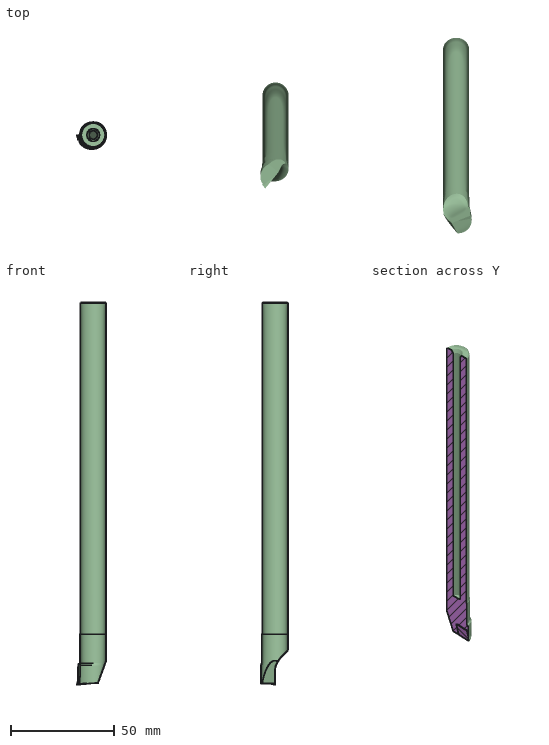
import cadquery as cq
import math

total_length = 185.4
shank_diameter = 12.6
head_diameter = 12.8
head_top = 24.5
head_bottom = 10.5
foot_top = 9.5
foot_bottom = 0.4
foot_radius = 6.95
foot_x = -0.65
foot_y = 0.1
head_offset = (head_diameter - shank_diameter) / 2
shank_chamfer = 0.5

channel_diameter = 4.0
channel_mouth_diameter = 6.1
mouth_depth = 1.9

scallop_radius = 9.3
scallop_base = 8.0
scallop_tilt = 17.0

foot_end_rise = 2.5
heel_start = 2.0
heel_angle = 20.0
flank_x = -7.6
flank_turn = 16.0
flank_lean = 1.5

tip_x = -8.0
tip_angle = 70.0
end_edge_angle = 5.0
insert_edge = 6.5
insert_thickness = 2.5
clearance_angle = 11.0

cutter_size = 37.0


def block_right_of_origin():
    """Cutting block filling +X from the plane X = 0."""
    return cq.Workplane("XY").box(cutter_size, cutter_size, cutter_size, centered=(False, True, True))


def make_blank():
    """Solid bar before the channel and reliefs, with the foot tapering into the head."""
    shank = (
        cq.Workplane("XY", origin=(0, 0, head_top))
        .circle(shank_diameter / 2)
        .extrude(total_length - head_top)
        .faces(">Z")
        .chamfer(shank_chamfer)
    )
    head = (
        cq.Workplane("XY", origin=(-head_offset, -head_offset, head_bottom))
        .circle(head_diameter / 2)
        .extrude(head_top - head_bottom)
    )
    foot = cq.Workplane("XY", origin=(foot_x, foot_y, 0)).circle(foot_radius).extrude(foot_top)
    transition = (
        cq.Workplane("XY", origin=(foot_x, foot_y, foot_top))
        .circle(foot_radius)
        .workplane(offset=head_bottom - foot_top)
        .center(-head_offset - foot_x, -head_offset - foot_y)
        .circle(head_diameter / 2)
        .loft()
    )
    return foot.union(transition).union(head).union(shank)


def make_coolant_channel():
    """Revolved channel with a conical mouth at the shank end."""
    return (
        cq.Workplane("XZ")
        .moveTo(0, head_top)
        .lineTo(channel_diameter / 2, head_top)
        .lineTo(channel_diameter / 2, total_length - mouth_depth)
        .lineTo(channel_mouth_diameter / 2, total_length)
        .lineTo(0, total_length)
        .close()
        .revolve(360, (0, 0, 0), (0, 1, 0))
    )


def make_scallop():
    """Round-ended cut over the flat, tilted about Y."""
    return (
        cq.Workplane("YZ")
        .moveTo(0, -cutter_size)
        .lineTo(0, 0)
        .radiusArc((scallop_radius, scallop_radius), scallop_radius)
        .lineTo(scallop_radius, -cutter_size)
        .close()
        .extrude(cutter_size, both=True)
        .rotate((0, 0, 0), (0, 1, 0), scallop_tilt)
        .translate((0, 0, scallop_base))
    )


def make_heel_cut():
    """Slants the +X side of the foot towards the end."""
    return block_right_of_origin().rotate((0, 0, 0), (0, 1, 0), heel_angle).translate((heel_start, 0, 0))


def make_flank_cut():
    """Flattens the -X side of the foot behind the side cutting edge."""
    return (
        block_right_of_origin()
        .rotate((0, 0, 0), (0, 0, 1), 180 + flank_turn)
        .rotate((0, 0, 0), (0, 1, 0), flank_lean)
        .translate((flank_x, 0, 0))
    )


def make_end_cut():
    """Removes the foot end below a plane that rises away from the insert tip."""
    return (
        block_right_of_origin()
        .rotate((0, 0, 0), (0, 1, 0), 90 - foot_end_rise)
        .translate((tip_x, 0, foot_bottom))
    )


def make_insert():
    """Cutting insert whose top face lies in the plane of the flat."""
    end_angle = math.radians(end_edge_angle)
    side_angle = math.radians(end_edge_angle + tip_angle)
    end_run = (insert_edge * math.cos(end_angle), insert_edge * math.sin(end_angle))
    side_run = (insert_edge * math.cos(side_angle), insert_edge * math.sin(side_angle))
    return (
        cq.Workplane("XZ", origin=(tip_x, 0, 0))
        .polyline([(0, 0), end_run, (end_run[0] + side_run[0], end_run[1] + side_run[1]), side_run])
        .close()
        .extrude(insert_thickness, taper=clearance_angle)
    )


def make_bar(seated_insert):
    """Finished bar with a pocket that matches the seated insert."""
    bar_body = make_blank().cut(make_coolant_channel()).cut(make_scallop())
    for relief in (make_heel_cut(), make_flank_cut(), make_end_cut()):
        bar_body = bar_body.cut(relief)
    return bar_body.cut(seated_insert).solids()


insert = make_insert()
bar = make_bar(insert)

result = cq.Compound.makeCompound([bar.val(), insert.val()])